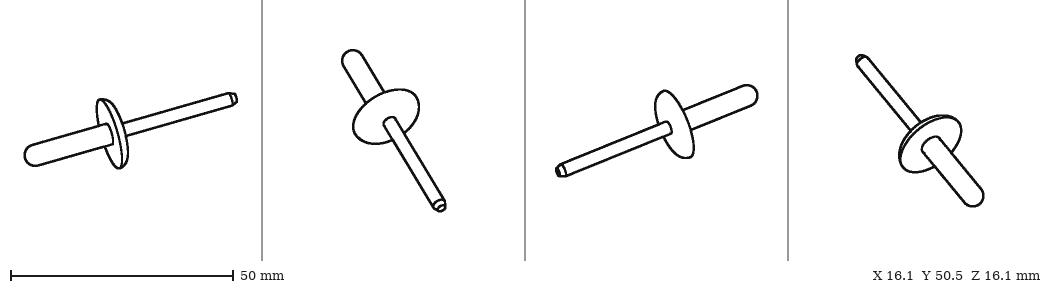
import cadquery as cq
import math

total_length = 50.55
body_length = 20.2
body_radius = 4.85 / 2
flange_radius = 16.1 / 2
flange_thickness = 2.1
mandrel_radius = 3.0 / 2
tip_length = 1.25
tip_radius = 0.95

mandrel_end = total_length - body_length
dome_start = body_radius - body_length
flange_top_radius = flange_radius - flange_thickness
half_way = math.sqrt(0.5)

dome_middle = (body_radius * half_way, dome_start - body_radius * half_way)

flange_edge_middle = (
    flange_top_radius + flange_thickness * half_way,
    flange_thickness * half_way,
)

half_section = (
    cq.Workplane("ZY")
    .moveTo(0, -body_length)
    .threePointArc(dome_middle, (body_radius, dome_start))
    .lineTo(body_radius, 0)
    .lineTo(flange_radius, 0)
    .threePointArc(flange_edge_middle, (flange_top_radius, flange_thickness))
    .lineTo(mandrel_radius, flange_thickness)
    .lineTo(mandrel_radius, mandrel_end - tip_length)
    .lineTo(tip_radius, mandrel_end)
    .lineTo(0, mandrel_end)
    .close()
)

result = half_section.revolve(360, (0, 0, 0), (0, 1, 0))